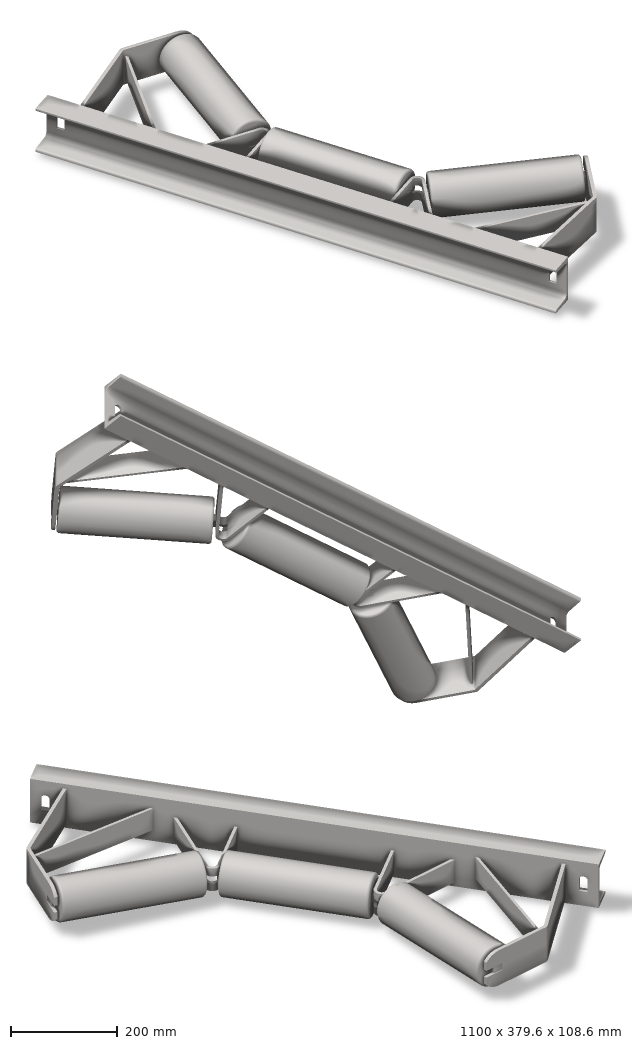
import cadquery as cq
import math


beam_length = 1100.0
beam_height = 100.0
beam_width = 50.0
web_thickness = 5.0
flange_thickness = 8.5
flange_slope = 0.08
root_radius = 9.5
tip_radius = 4.5

slot_width = 16.0
slot_height = 34.0
slot_inset = 30.0

trough_angle = 35.0

roller_diameter = 89.0
roller_length = 290.0
roller_edge_radius = 5.0
tongue_width = 15.0
tongue_depth = 20.0
tongue_overhang = 10.0
centre_roller_y = 117.0
centre_roller_z = -14.0
side_roller_x = 307.0
side_roller_y = 212.0
side_roller_z = -8.0
side_roller_tilt = 2.5

outer_width = 80.0
outer_thickness = 7.2
outer_lean = 5.0
outer_bend_x = 504.0
outer_bend_y = 205.0
outer_bend_radius = 4.0
arm_length = 150.0
arm_round_depth = 31.0

inner_width = 52.0
inner_thickness = 6.0
inner_face_x = 148.0
inner_bend_radius = 15.0
inner_bend_y = 128.0

strut_width = 50.0
strut_thickness = 5.0
strut_foot_x = 315.0
strut_angle = 40.5
strut_length = 273.0

bracket_slot_reach = 66.0
edge_pick_reach = 0.1


def heading(angle):
    """Unit vector at an angle in degrees from +Y, positive towards +X."""
    return cq.Vector(math.sin(math.radians(angle)), math.cos(math.radians(angle)))


def right_of(direction):
    """Unit vector square to a direction in the XY plane, on its right-hand side."""
    return cq.Vector(direction.y, -direction.x)


def down_to_beam(point, direction):
    """Follow a direction from a point until it meets the plane Y = 0."""
    return point - direction * (point.y / direction.y)


def xy(point):
    return (point.x, point.y)


def strip_sketch(width):
    """Workplane for a strip outline, placed so that the strip is centred on Z = 0."""
    return cq.Workplane("XY", origin=(0, 0, -width / 2))


def make_beam():
    half_height = beam_height / 2
    half_taper = flange_slope * beam_width / 2
    tip_z = half_height - flange_thickness + half_taper
    root_z = half_height - flange_thickness - half_taper + flange_slope * web_thickness
    beam = (
        cq.Workplane("YZ", origin=(-beam_length / 2, 0, 0))
        .moveTo(0, half_height)
        .lineTo(-beam_width, half_height)
        .lineTo(-beam_width, tip_z)
        .lineTo(-web_thickness, root_z)
        .lineTo(-web_thickness, -root_z)
        .lineTo(-beam_width, -tip_z)
        .lineTo(-beam_width, -half_height)
        .lineTo(0, -half_height)
        .close()
        .extrude(beam_length)
    )
    for y, z, radius in ((-web_thickness, root_z, root_radius), (-beam_width, tip_z, tip_radius)):
        for side in (-1, 1):
            low = (-edge_pick_reach, y - edge_pick_reach, side * z - edge_pick_reach)
            high = (edge_pick_reach, y + edge_pick_reach, side * z + edge_pick_reach)
            beam = beam.edges("|X").edges(cq.selectors.BoxSelector(low, high)).fillet(radius)

    slot = make_mounting_slot()
    slot_x = beam_length / 2 - slot_inset
    for x in (-slot_x, slot_x):
        beam = beam.cut(slot.translate((x, 0, 0)))
    return beam


def make_mounting_slot():
    """Cutter with a flat bottom and a half-round top, running along -Y."""
    half_width = slot_width / 2
    shoulder_z = slot_height / 2 - half_width
    return (
        cq.Workplane("XZ")
        .moveTo(-half_width, -slot_height / 2)
        .lineTo(half_width, -slot_height / 2)
        .lineTo(half_width, shoulder_z)
        .threePointArc((0, slot_height / 2), (-half_width, shoulder_z))
        .close()
        .extrude(beam_width)
    )


def make_roller():
    """Roller along X, centred at the origin, with a flat tongue at each end."""
    drum = (
        cq.Workplane("YZ", origin=(-roller_length / 2, 0, 0))
        .circle(roller_diameter / 2)
        .extrude(roller_length)
        .faces("|X")
        .edges()
        .fillet(roller_edge_radius)
    )
    tongues = cq.Workplane().box(roller_length + 2 * tongue_overhang, tongue_depth, tongue_width)
    return drum.union(tongues)


def make_bracket_slot():
    """Cutter around the tongues of a roller along X, open towards +Y."""
    bottom_y = -tongue_depth / 2
    length = roller_length + 4 * tongue_overhang
    cutter = cq.Workplane().box(length, bracket_slot_reach - bottom_y, tongue_width)
    return cutter.translate((0, (bracket_slot_reach + bottom_y) / 2, 0))


def at_centre(body):
    """Move a body from the origin to the centre roller."""
    return body.translate((0, centre_roller_y, centre_roller_z))


def at_left_side(body):
    """Tilt, slope and move a body from the origin to the left side roller."""
    tilted = body.rotate((0, 0, 0), (0, 1, 0), side_roller_tilt)
    sloped = tilted.rotate((0, 0, 0), (0, 0, 1), -trough_angle)
    return sloped.translate((-side_roller_x, side_roller_y, side_roller_z))


def make_outer_bracket():
    """Left outer bracket, before its slot is cut."""
    leg = heading(-outer_lean)
    arm = heading(trough_angle)
    half_bend = math.radians((trough_angle + outer_lean) / 2)
    mitre = (right_of(leg) + right_of(arm)).normalized() * (outer_thickness / math.cos(half_bend))

    corner = cq.Vector(-outer_bend_x, outer_bend_y)
    inside_corner = corner + mitre
    tip = corner + arm * arm_length
    inside_tip = tip + right_of(arm) * outer_thickness
    bracket = (
        strip_sketch(outer_width)
        .moveTo(*xy(down_to_beam(corner, leg)))
        .lineTo(*xy(corner))
        .lineTo(*xy(tip))
        .lineTo(*xy(inside_tip))
        .lineTo(*xy(inside_corner))
        .lineTo(*xy(down_to_beam(inside_corner, leg)))
        .close()
        .extrude(outer_width)
    )
    outside_radius = outer_bend_radius + outer_thickness
    for point, radius in ((corner, outside_radius), (inside_corner, outer_bend_radius)):
        nearest = cq.selectors.NearestToPointSelector((point.x, point.y, 0))
        bracket = bracket.edges("|Z").edges(nearest).fillet(radius)

    round_centre = tip - arm * arm_round_depth
    arm_plane = cq.Plane(origin=round_centre, xDir=arm, normal=right_of(arm))
    half_width = outer_width / 2
    arm_end = (
        cq.Workplane(arm_plane).center(half_width / 2, 0).rect(half_width, outer_width).extrude(outer_thickness)
    )
    disc = cq.Workplane(arm_plane).circle(half_width).extrude(outer_thickness)
    return bracket.cut(arm_end.cut(disc))


def make_inner_bracket():
    """Left inner bracket, before its slots are cut."""
    slope = heading(trough_angle)
    bend_centre = cq.Vector(-inner_face_x - inner_bend_radius, inner_bend_y)
    to_upright = cq.Vector(1, 0)
    to_slope = right_of(slope) * -1
    to_crown = (to_upright + to_slope).normalized()
    inside_radius = inner_bend_radius - inner_thickness

    outside_slope = bend_centre + to_slope * inner_bend_radius
    inside_slope = bend_centre + to_slope * inside_radius
    bracket = (
        strip_sketch(inner_width)
        .moveTo(-inner_face_x, 0)
        .lineTo(-inner_face_x, inner_bend_y)
        .threePointArc(xy(bend_centre + to_crown * inner_bend_radius), xy(outside_slope))
        .lineTo(*xy(down_to_beam(outside_slope, slope)))
        .lineTo(*xy(down_to_beam(inside_slope, slope)))
        .lineTo(*xy(inside_slope))
        .threePointArc(xy(bend_centre + to_crown * inside_radius), xy(bend_centre + to_upright * inside_radius))
        .lineTo(-inner_face_x - inner_thickness, 0)
        .close()
        .extrude(inner_width)
    )
    return bracket.translate((0, 0, centre_roller_z))


def make_strut(bracket):
    """Left strut, its upper end trimmed to the inside of the outer bracket."""
    along = heading(-strut_angle)
    rise = along * strut_length
    foot_length = strut_thickness / along.y
    strut = (
        strip_sketch(strut_width)
        .moveTo(-strut_foot_x - foot_length / 2, 0)
        .line(foot_length, 0)
        .line(rise.x, rise.y)
        .line(-foot_length, 0)
        .close()
        .extrude(strut_width)
    )
    return strut.cut(bracket)


beam = make_beam()

roller = make_roller()
centre_roller = at_centre(roller)
left_roller = at_left_side(roller)

bracket_slot = make_bracket_slot()
centre_slot = at_centre(bracket_slot)
side_slot = at_left_side(bracket_slot)

unslotted_outer_bracket = make_outer_bracket()
left_outer_bracket = unslotted_outer_bracket.cut(side_slot)
left_strut = make_strut(unslotted_outer_bracket)
left_inner_bracket = make_inner_bracket().cut(side_slot).cut(centre_slot)

bodies = [beam.solids().val(), centre_roller.solids().val()]
for left_body in (left_roller, left_outer_bracket, left_strut, left_inner_bracket):
    bodies.append(left_body.solids().val())
    bodies.append(left_body.mirror("YZ").solids().val())

result = cq.Compound.makeCompound(bodies)